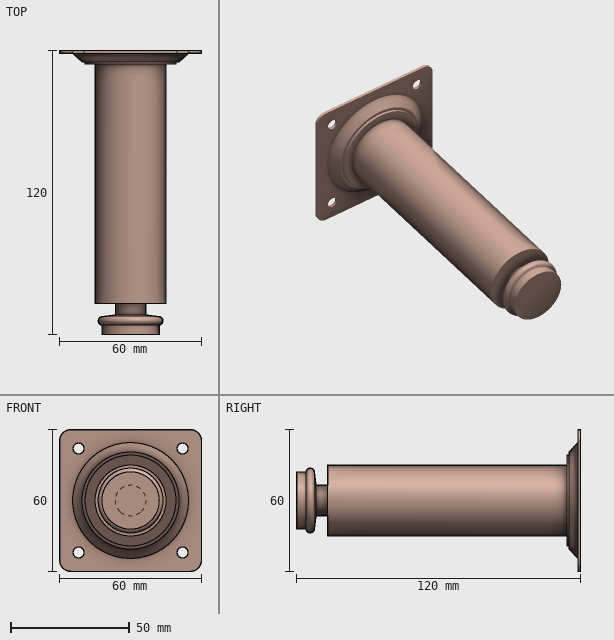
import cadquery as cq

total_length = 120.0
plate_side = 60.0
plate_thickness = 1.2
plate_corner_radius = 4.8
hole_diameter = 4.5
hole_spacing = 43.9

cone_base_radius = 24.5
cone_front_radius = 20.5
cone_front = 4.8
ring_radius = 19.2
ring_front = 5.8

tube_radius = 15.0
tube_end = 106.9
neck_radius = 6.5

foot_start = 111.7
rim_start = 112.5
rim_end = 116.0
pad_radius = 12.1


def make_plate():
    """Rounded square plate with a hole near each corner."""
    plate = (
        cq.Workplane("XZ")
        .rect(plate_side, plate_side)
        .extrude(plate_thickness)
        .edges("|Y")
        .fillet(plate_corner_radius)
    )
    return (
        plate.faces("<Y")
        .workplane()
        .rect(hole_spacing, hole_spacing, forConstruction=True)
        .vertices()
        .hole(hole_diameter)
    )


def make_leg():
    """Collar, tube, neck and foot, revolved as one profile about the Y axis."""
    profile = (
        cq.Workplane("XY")
        .lineTo(cone_base_radius, 0)
        .lineTo(cone_base_radius, -plate_thickness)
        .lineTo(cone_front_radius, -cone_front)
        .lineTo(ring_radius, -cone_front)
        .lineTo(ring_radius, -ring_front)
        .lineTo(tube_radius, -ring_front)
        .lineTo(tube_radius, -tube_end)
        .lineTo(neck_radius, -tube_end)
        .lineTo(neck_radius, -foot_start)
        .lineTo(pad_radius, -rim_start)
        .tangentArcPoint((pad_radius, -rim_end), relative=False)
        .lineTo(pad_radius, -total_length)
        .lineTo(0, -total_length)
        .close()
    )
    return profile.revolve(360, (0, 0, 0), (0, 1, 0))


result = make_plate().union(make_leg())